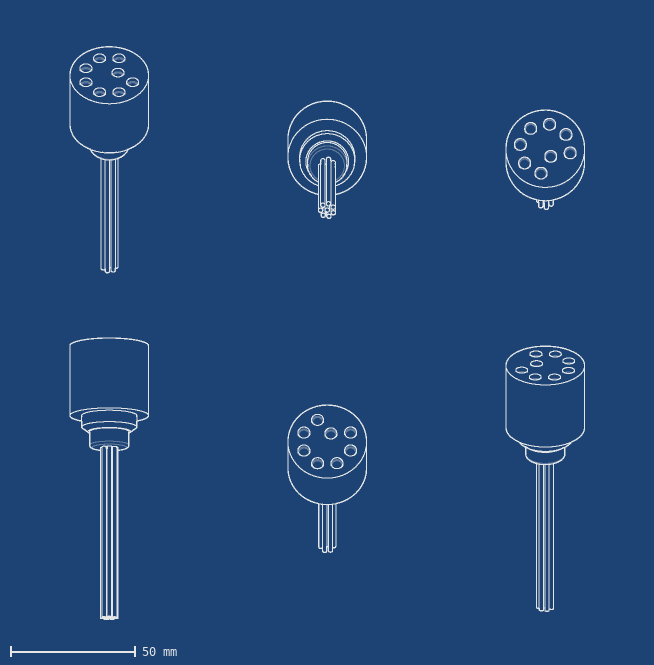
import cadquery as cq
import math

TOTAL_HEIGHT = 111.6
HEAD_DIAMETER = 31.7
HEAD_HEIGHT = 28.7
COLLAR_DIAMETER = 22.2
COLLAR_HEIGHT = 4.7
CONE_HEIGHT = 1.9
CONE_END_DIAMETER = 17.2
NECK_DIAMETER = 15.9
NECK_HEIGHT = 6.5
NECK_FILLET = 1.0

SOCKET_DIAMETER = 4.8
SOCKET_DEPTH = 2.5
SOCKET_FLOOR_FILLET = 0.3
SOCKET_CIRCLE_RADIUS = 10.2
SOCKET_PITCH_ANGLE = 45
INNER_SOCKET_OFFSET = 3.8

WIRE_DIAMETER = 1.8
RING_WIRE_COUNT = 7
WIRE_RING_RADIUS = 2.7
WIRE_EMBED = 1.1

head_bottom = TOTAL_HEIGHT - HEAD_HEIGHT
collar_bottom = head_bottom - COLLAR_HEIGHT
cone_bottom = collar_bottom - CONE_HEIGHT
neck_bottom = cone_bottom - NECK_HEIGHT


def polar_point(radius, angle):
    """Point at an angle in degrees, counter-clockwise from +X."""
    return radius * math.cos(math.radians(angle)), radius * math.sin(math.radians(angle))


def make_housing():
    """Stepped round body turned about Z, with its lower neck edge rounded."""
    profile = [
        (0, TOTAL_HEIGHT),
        (HEAD_DIAMETER / 2, TOTAL_HEIGHT),
        (HEAD_DIAMETER / 2, head_bottom),
        (COLLAR_DIAMETER / 2, head_bottom),
        (COLLAR_DIAMETER / 2, collar_bottom),
        (CONE_END_DIAMETER / 2, cone_bottom),
        (NECK_DIAMETER / 2, cone_bottom),
        (NECK_DIAMETER / 2, neck_bottom),
        (0, neck_bottom),
    ]
    body = cq.Workplane("XZ").polyline(profile).close().revolve(360, (0, 0), (0, 1))
    return body.faces("<Z").edges().fillet(NECK_FILLET)


def socket_centres():
    """Centres on a circle of eight, with the +Y one moved inward."""
    centres = [(0, INNER_SOCKET_OFFSET)]
    for step in range(1, 360 // SOCKET_PITCH_ANGLE):
        centres.append(polar_point(SOCKET_CIRCLE_RADIUS, 90 + step * SOCKET_PITCH_ANGLE))
    return centres


def make_sockets():
    """Shallow blind holes in the top face, each with a rounded floor edge."""
    floor = cq.Workplane("XY").workplane(offset=TOTAL_HEIGHT - SOCKET_DEPTH)
    plugs = floor.pushPoints(socket_centres()).circle(SOCKET_DIAMETER / 2).extrude(SOCKET_DEPTH)
    return plugs.faces("<Z").edges().fillet(SOCKET_FLOOR_FILLET)


def make_wires():
    """Straight wires hanging from the neck, with one ring wire on the -Y side."""
    centres = [(0, 0)]
    for index in range(RING_WIRE_COUNT):
        centres.append(polar_point(WIRE_RING_RADIUS, -90 + index * 360 / RING_WIRE_COUNT))
    wire_length = neck_bottom + WIRE_EMBED
    return cq.Workplane("XY").pushPoints(centres).circle(WIRE_DIAMETER / 2).extrude(wire_length)


result = make_housing().cut(make_sockets()).union(make_wires())